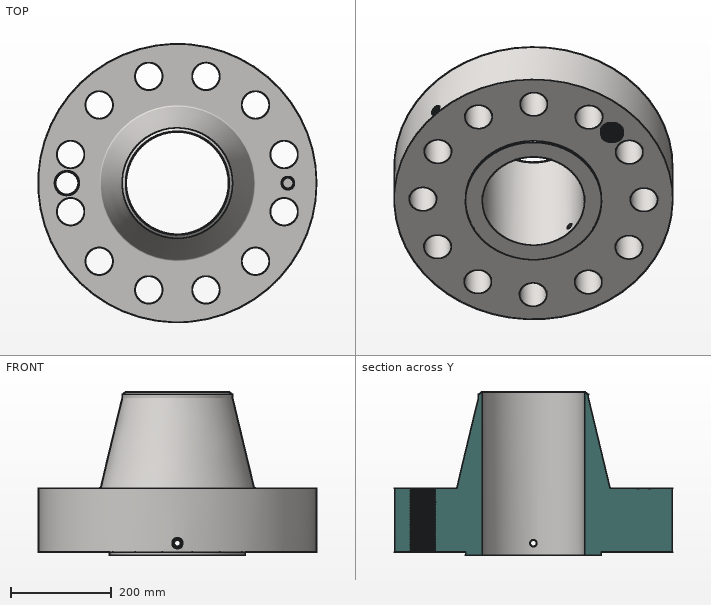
import cadquery as cq
import math

INCH = 25.4

flange_dia = 552.45
flange_thickness = 127.0
raised_face_dia = 10.625 * INCH
raised_face_height = INCH / 4
flange_top = raised_face_height + flange_thickness

total_height = 323.85
hub_base_dia = 12 * INCH
hub_fillet = 3.0
neck_dia = 219.1
neck_length = 12.0
bore_dia = 202.7
weld_land = 1.6
weld_bevel_angle = 37.5

bolt_count = 12
bolt_circle_dia = 17.25 * INCH
bolt_hole_dia = 2.125 * INCH

jack_major_dia = 49.2
jack_minor_dia = 44.7
jack_pitch = INCH / 4.5

ring_mark_outer_dia = 26.0
ring_mark_inner_dia = 21.0
ring_mark_depth = 1.0

tap_height = 24.0
tap_drill_dia = 0.5 * INCH
tap_mouth_dia = 21.34
tap_pitch = INCH / 14
tap_thread_height = 0.5413 * tap_pitch
tap_taper = 1 / 16
tap_thread_turns = 11


def revolve_about_z(points):
    """Solid of revolution about Z from (radius, height) points."""
    return cq.Workplane("XZ").polyline(points).close().revolve(360, (0, 0, 0), (0, 1, 0))


def make_body():
    neck_radius = neck_dia / 2
    land_radius = bore_dia / 2 + weld_land
    bevel_height = (neck_radius - land_radius) * math.tan(math.radians(weld_bevel_angle))
    flange = cq.Workplane("XY").circle(raised_face_dia / 2).extrude(raised_face_height)
    flange = flange.faces(">Z").workplane().circle(flange_dia / 2).extrude(flange_thickness)
    neck = revolve_about_z([
        (0, flange_top),
        (hub_base_dia / 2, flange_top),
        (neck_radius, total_height - neck_length),
        (neck_radius, total_height - bevel_height),
        (land_radius, total_height),
        (0, total_height),
    ])
    body = flange.union(neck)
    hub_corner = cq.selectors.RadiusNthSelector(0)
    body = body.faces("+Z").faces("<Z").edges(hub_corner).fillet(hub_fillet)
    bore = cq.Workplane("XY").circle(bore_dia / 2).extrude(total_height)
    return body.cut(bore)


def make_bolt_holes():
    return (
        cq.Workplane("XY")
        .polarArray(bolt_circle_dia / 2, 180 / bolt_count, 360, bolt_count)
        .circle(bolt_hole_dia / 2)
        .extrude(flange_top)
    )


def make_thread_cutter(major_dia, thread_height, pitch, turns, taper=0.0):
    """Threaded hole below Z = 0, its thread as V rings.

    The diameter shrinks by `taper` per unit of depth.
    """
    points = [(0, 0), (major_dia / 2, 0)]
    for turn in range(turns):
        crest_depth = (turn + 0.5) * pitch
        root_depth = (turn + 1) * pitch
        points.append(((major_dia - taper * crest_depth) / 2 - thread_height, -crest_depth))
        points.append(((major_dia - taper * root_depth) / 2, -root_depth))
    points.append((0, -turns * pitch))
    return revolve_about_z(points)


def make_jack_hole():
    turns = math.ceil(flange_thickness / jack_pitch)
    thread_height = (jack_major_dia - jack_minor_dia) / 2
    cutter = make_thread_cutter(jack_major_dia, thread_height, jack_pitch, turns)
    return cutter.translate((-bolt_circle_dia / 2, 0, flange_top))


def make_ring_mark():
    ring = cq.Workplane("XY").circle(ring_mark_outer_dia / 2).circle(ring_mark_inner_dia / 2)
    return ring.extrude(-ring_mark_depth).translate((bolt_circle_dia / 2, 0, flange_top))


def make_taps():
    rim = flange_dia / 2
    taps = cq.Workplane("XZ").circle(tap_drill_dia / 2).extrude(rim, both=True)
    thread = make_thread_cutter(
        tap_mouth_dia, tap_thread_height, tap_pitch, tap_thread_turns, tap_taper
    )
    thread = thread.translate((0, 0, rim))
    for turn_angle in (90, -90):
        taps = taps.union(thread.rotate((0, 0, 0), (1, 0, 0), turn_angle))
    return taps.translate((0, 0, tap_height))


result = make_body()
for cutter in (make_bolt_holes(), make_jack_hole(), make_ring_mark(), make_taps()):
    result = result.cut(cutter)